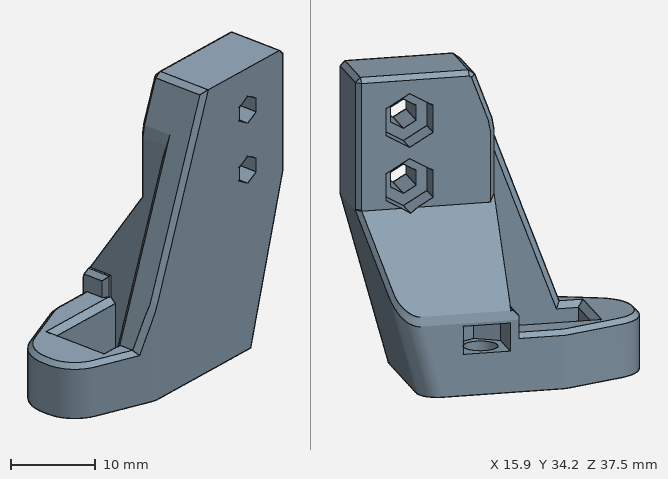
import cadquery as cq
import math

width = 15.87
length = 34.2
height = 37.52

edge_chamfer = 0.6

base_height = 7.15
taper_start = 10.73
nose_inset = 4.13
nose_radius = 5.0
taper_corner_radius = 2.5

rear_foot = 28.33
rear_bend_height = 21.25
slope_foot = 8.4
slope_top = 19.9
rear_corner_radius = 2.5

column_left = 7.88
ramp_top = rear_bend_height
ramp_foot = 9.45

window_left = 4.2
window_right = 11.63
window_front = 6.25
window_back = 17.35
window_chamfer = 0.75

lip_thickness = 0.9
lip_width = 3.53

cross_hole_y = 27.75
cross_hole_heights = (23.98, 31.95)
cross_hole_diameter = 3.6
nut_diameter = 6.6
nut_pocket_depth = 3.0

slot_y = 20.37
slot_floor = 5.1
slot_height = 3.45
screw_x = 3.0
screw_hole_diameter = 4.13


def box(x0, x1, y0, y1, z0, z1):
    corner = (x0, y0, z0)
    return cq.Workplane("XY").box(x1 - x0, y1 - y0, z1 - z0, centered=False).translate(corner)


def middle(start, end):
    return tuple((a + b) / 2 for a, b in zip(start, end))


def nearest_edges(solid, points):
    """The edges whose centres lie nearest to the given points."""
    return solid.newObject([
        solid.edges(cq.selectors.NearestToPointSelector(point)).val() for point in points
    ])


def slope_height(y):
    """Height of the sloped front face at depth y."""
    return base_height + (height - base_height) * (y - slope_foot) / (slope_top - slope_foot)


def plan_prism(prism_height):
    """Plan outline of the whole part, extruded upward."""
    outline = [
        (0, length),
        (0, taper_start),
        (nose_inset, 0),
        (width - nose_inset, 0),
        (width, taper_start),
        (width, length),
    ]
    prism = cq.Workplane("XY").polyline(outline).close().extrude(prism_height)
    prism = prism.edges("|Z and <Y").fillet(nose_radius)
    taper_corners = [(x, taper_start, prism_height / 2) for x in (0, width)]
    return nearest_edges(prism, taper_corners).fillet(taper_corner_radius)


def make_body():
    """Base, column and ramp with the open window, edges still sharp."""
    side_profile = [
        (0, 0),
        (rear_foot, 0),
        (length, rear_bend_height),
        (length, height),
        (slope_top, height),
        (slope_foot, base_height),
        (0, base_height),
    ]
    body = cq.Workplane("YZ").polyline(side_profile).close().extrude(width)
    body = body.intersect(plan_prism(height))
    rear_left_edge = middle((0, rear_foot, 0), (0, length, rear_bend_height))
    body = nearest_edges(body, [rear_left_edge]).fillet(rear_corner_radius)

    above_ramp = [(0, ramp_foot), (column_left, ramp_top), (column_left, height), (0, height)]
    body = body.cut(cq.Workplane("XZ").polyline(above_ramp).close().extrude(-length))
    body = body.cut(box(0, window_right, 0, window_back, base_height, height))
    return body.cut(box(window_left, window_right, window_front, window_back, 0, height))


def chamfer_outside(body):
    """Bevel the column, the ramp, the sloped front and the nose."""
    back_height = slope_height(window_back)
    column_middle = (column_left + width) / 2
    bend_to_top = (rear_bend_height + height) / 2

    column_edges = [
        (column_left, (slope_top + length) / 2, height),
        (column_middle, slope_top, height),
        (column_middle, length, height),
        (column_left, length, bend_to_top),
        (column_left, window_back, (ramp_top + back_height) / 2),
        (column_left, window_back, back_height),
        middle((column_left, window_back, back_height), (column_left, slope_top, height)),
    ]
    ramp_edge = (0, (window_back + rear_foot) / 2, ramp_foot)
    slope_edge = middle((width, slope_top, height), (width, taper_start, slope_height(taper_start)))
    nose_edge = (width / 2, 0, base_height)
    outer_edges = column_edges + [ramp_edge, slope_edge, nose_edge]
    return nearest_edges(body, outer_edges).chamfer(edge_chamfer)


def chamfer_window(body):
    """Bevel the window rim on the base and on up the sloped front."""
    margin = 0.05
    around_window = cq.selectors.BoxSelector(
        (window_left - margin, window_front - margin, base_height - margin),
        (window_right + margin, window_back + margin, height),
    )
    upright_edges = cq.selectors.StringSyntaxSelector("|Z")
    return body.edges(around_window - upright_edges).chamfer(window_chamfer)


def make_lip():
    """Lip reaching forward from the foot of the ramp."""
    ramp_angle = math.atan2(ramp_top - ramp_foot, column_left)
    bevel_run = edge_chamfer * math.cos(ramp_angle)
    lip_height = ramp_foot + edge_chamfer * math.sin(ramp_angle)
    front_outline = [
        (0, base_height - edge_chamfer),
        (0, ramp_foot - edge_chamfer),
        (bevel_run, lip_height),
        (lip_width, lip_height),
        (lip_width, base_height - edge_chamfer),
    ]
    lip = cq.Workplane("XZ", origin=(0, window_back, 0)).polyline(front_outline).close()
    lip = lip.extrude(lip_thickness)
    front_edges = [
        (lip_width / 2, window_back - lip_thickness, lip_height),
        (lip_width, window_back - lip_thickness, (base_height + lip_height) / 2),
    ]
    return nearest_edges(lip, front_edges).chamfer(edge_chamfer)


def cross_hexagon(z, diameter, start, depth):
    """Hexagonal cutter along X with corners at top and bottom."""
    hexagon = cq.Workplane("YZ", origin=(start, cross_hole_y, z)).transformed(rotate=(0, 0, 90))
    return hexagon.polygon(6, diameter).extrude(depth)


def cut_cross_holes(body):
    for z in cross_hole_heights:
        body = body.cut(cross_hexagon(z, cross_hole_diameter, 0, width))
        body = body.cut(cross_hexagon(z, nut_diameter, 0, column_left + nut_pocket_depth))
    return body


def cut_nut_slot(body):
    """Nut slot open to the left, with the screw hole below it."""
    nut_width = nut_diameter * math.cos(math.pi / 6)
    half_width = nut_width / 2
    slot_top = slot_floor + slot_height
    nut = cq.Workplane("XY", origin=(screw_x, slot_y, slot_floor)).polygon(6, nut_diameter)
    body = body.cut(nut.extrude(slot_height))
    body = body.cut(box(0, screw_x, slot_y - half_width, slot_y + half_width, slot_floor, slot_top))
    screw = cq.Workplane("XY").center(screw_x, slot_y).circle(screw_hole_diameter / 2)
    return body.cut(screw.extrude(slot_floor))


result = make_body()
result = chamfer_window(result)
result = chamfer_outside(result)
result = result.union(make_lip())
result = cut_cross_holes(result)
result = cut_nut_slot(result)